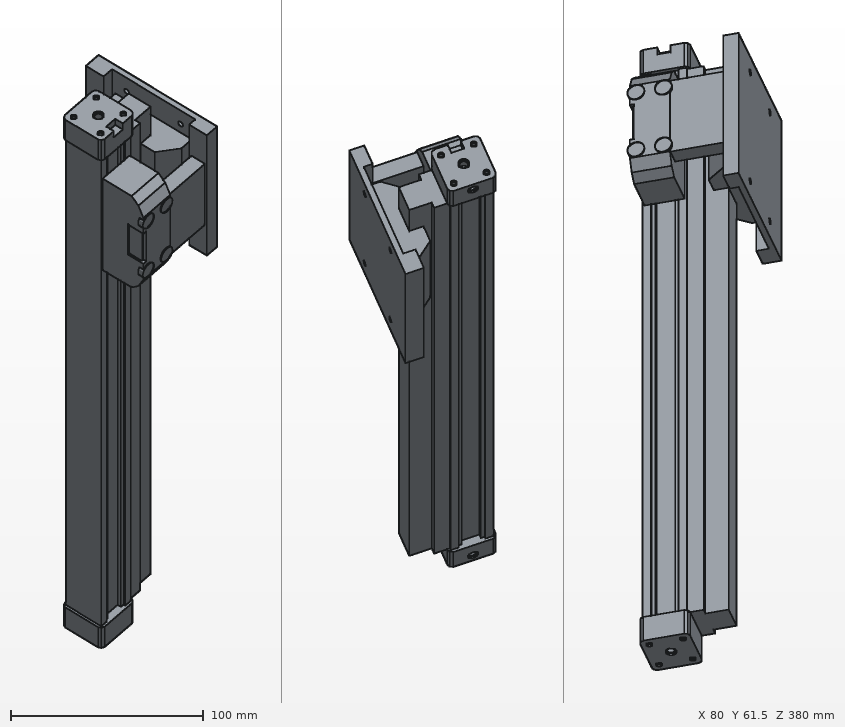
import cadquery as cq

length = 380.0
total_depth = 61.5
carriage_z = 315.0

cap_size = 27.0
plate_back_y = total_depth - cap_size / 2
cap_height = 15.2
cap_flat_width = 22.0
cap_corner_inset = 0.8
screw_hole_diameter = 2.47
screw_mouth_diameter = 3.23
screw_mouth_depth = 1.0
screw_hole_offset = 9.0
screw_hole_depth = 3.8
port_diameter = 4.0
port_mouth_diameter = 5.7
port_mouth_depth = 1.0
port_depth = 5.7
side_port_inset = 5.5
cable_notch_inner_x = 8.5
cable_notch_width = 7.2
cable_notch_depth = 4.5

profile_size = 24.0
groove_outer_width = 15.0
groove_outer_depth = 1.0
groove_inner_width = 10.5
groove_inner_depth = 3.5

rail_base_width = 21.5
rail_base_back_y = plate_back_y - 27.5
rail_width = 15.0
rail_back_y = plate_back_y - 15.0

plate_width = 80.0
plate_height = 90.0
plate_thickness = 3.5
channel_width = 56.2
left_leg_height = 10.3
right_leg_height = 8.5
plate_hole_diameter = 3.23
plate_hole_spacing_x = 36.5
plate_hole_spacing_z = 70.0

block_length = 57.0
block_back_width = 51.5
block_front_width = 34.0
block_slope_y = plate_back_y - 11.8
block_front_y = plate_back_y - 22.8

box_length = 68.5
box_end_x = 39.5
box_depth = 21.5
box_corner_start = (31.5, 0.0)
box_corner_middle = (36.0, 4.0)
box_corner_finish = (box_end_x, 11.0)
recess_inner_x = 29.0
recess_length = 22.5
recess_depth = 1.0
ledge_inner_x = 37.5
ledge_depth = 1.0
post_left_x = 29.5
post_width = 9.0
post_length = 45.5

rib_radius = 4.5
rib_bulge = 1.0
rib_start_x = 37.0
rib_end_x = plate_width / 2
rib_spacing = 37.0


def box_between(x_range, y_range, z_range):
    """A box given by its lower and upper limits along each axis."""
    (x0, x1), (y0, y1), (z0, z1) = x_range, y_range, z_range
    return cq.Workplane("XY").box(x1 - x0, y1 - y0, z1 - z0, centered=False).translate((x0, y0, z0))


def centred(size, middle=0.0):
    """Lower and upper limit of a size centred on a middle."""
    return (middle - size / 2, middle + size / 2)


def stepped_hole(diameter, depth, mouth_diameter, mouth_depth):
    """Cutter for a hole with a wider mouth, going down from Z = 0."""
    hole = cq.Workplane("XY").circle(diameter / 2).extrude(-depth)
    return hole.union(cq.Workplane("XY").circle(mouth_diameter / 2).extrude(-mouth_depth))


def make_end_cap():
    """Upper end cap, standing on Z = 0."""
    half = cap_size / 2
    flat = cap_flat_width / 2
    ridge = half - cap_corner_inset
    corner = [(half, flat), (ridge, ridge), (flat, half)]
    back_half = corner + [(-x, y) for x, y in reversed(corner)]
    outline = back_half + [(-x, -y) for x, y in back_half]
    cap = cq.Workplane("XY").polyline(outline).close().extrude(cap_height)
    screw_hole = stepped_hole(
        screw_hole_diameter, screw_hole_depth, screw_mouth_diameter, screw_mouth_depth
    )
    for x in (-screw_hole_offset, screw_hole_offset):
        for y in (-screw_hole_offset, screw_hole_offset):
            cap = cap.cut(screw_hole.translate((x, y, cap_height)))
    port = stepped_hole(port_diameter, port_depth, port_mouth_diameter, port_mouth_depth)
    cap = cap.cut(port.translate((0, 0, cap_height)))
    side_port = port.rotate((0, 0, 0), (0, 1, 0), -90)
    return cap.cut(side_port.translate((-half, 0, cap_height - side_port_inset)))


def make_profile(z_range):
    """Square profile with stepped grooves in its left and right sides."""
    half = profile_size / 2
    profile = box_between((-half, half), (-half, half), z_range)
    for width, depth in (
        (groove_outer_width, groove_outer_depth),
        (groove_inner_width, groove_inner_depth),
    ):
        for x_range in ((-half, -half + depth), (half - depth, half)):
            profile = profile.cut(box_between(x_range, centred(width), z_range))
    return profile


def make_cylinder():
    """Fixed body: profile, guide rail and the two end caps."""
    z_range = (cap_height, length - cap_height)
    cylinder = make_profile(z_range)
    cylinder = cylinder.union(
        box_between(centred(rail_base_width), (profile_size / 2, rail_base_back_y), z_range)
    )
    cylinder = cylinder.union(box_between(centred(rail_width), (rail_base_back_y, rail_back_y), z_range))

    cable_notch = box_between(
        (cable_notch_inner_x, cap_size / 2),
        centred(cable_notch_width),
        (cap_height - cable_notch_depth, cap_height),
    )
    upper_cap = make_end_cap().cut(cable_notch).translate((0, 0, length - cap_height))
    lower_cap = make_end_cap().mirror("XY").translate((0, 0, cap_height))
    return cylinder.union(upper_cap).union(lower_cap)


def make_plate():
    """Back plate with a long left leg, a short right leg and four through holes."""
    half = plate_width / 2
    half_channel = channel_width / 2
    z_range = centred(plate_height, carriage_z)
    plate = box_between((-half, half), (plate_back_y - plate_thickness, plate_back_y), z_range)
    for x_range, height in (
        ((-half, -half_channel), left_leg_height),
        ((half_channel, half), right_leg_height),
    ):
        plate = plate.union(box_between(x_range, (plate_back_y - height, plate_back_y), z_range))
    holes = (
        cq.Workplane("XZ", origin=(0, plate_back_y, carriage_z))
        .rect(plate_hole_spacing_x, plate_hole_spacing_z, forConstruction=True)
        .vertices()
        .circle(plate_hole_diameter / 2)
        .extrude(plate_thickness)
    )
    return plate.cut(holes)


def make_bearing_block():
    """Block with sloped sides and a channel that fits the guide rail."""
    back_y = plate_back_y - plate_thickness
    z_range = centred(block_length, carriage_z)
    block = (
        cq.Workplane("XY", origin=(0, 0, z_range[0]))
        .polyline([
            (-block_back_width / 2, back_y),
            (-block_back_width / 2, block_slope_y),
            (-block_front_width / 2, block_front_y),
            (block_front_width / 2, block_front_y),
            (block_back_width / 2, block_slope_y),
            (block_back_width / 2, back_y),
        ])
        .close()
        .extrude(block_length)
    )
    return block.cut(box_between(centred(rail_width), (block_front_y, rail_back_y), z_range))


def make_sensor_box():
    """Box beside the profile, with two-facet outer corners and a recess in its front face."""
    half = box_length / 2
    front_y = -box_depth / 2
    corner = [box_corner_start, box_corner_middle, box_corner_finish]
    upper = [(x, half - inset) for x, inset in corner]
    lower = [(x, -z) for x, z in reversed(upper)]
    inner_x = profile_size / 2
    box = (
        cq.Workplane("XZ", origin=(0, -front_y, carriage_z))
        .polyline([(inner_x, half)] + upper + lower + [(inner_x, -half)])
        .close()
        .extrude(box_depth)
    )
    recess_z = centred(recess_length, carriage_z)
    recess_y = front_y + recess_depth
    recess = box_between((recess_inner_x, box_end_x), (front_y, recess_y), recess_z)
    ledge = box_between((ledge_inner_x, box_end_x), (recess_y, recess_y + ledge_depth), recess_z)
    return box.cut(recess).cut(ledge)


def make_rib(y, z):
    """Short round rib along X, mostly sunk into the end of the box."""
    return (
        cq.Workplane("YZ", origin=(rib_start_x, y, z))
        .circle(rib_radius)
        .extrude(rib_end_x - rib_start_x)
    )


def add_ribs(body):
    """Add four ribs, one pair at the front face of the box and one at the back face."""
    axis_y = box_depth / 2 + rib_bulge - rib_radius
    for y in (-axis_y, axis_y):
        for z in centred(rib_spacing, carriage_z):
            body = body.union(make_rib(y, z))
    return body


def make_carriage():
    """Moving body: plate, bearing block, post and sensor box."""
    post = box_between(
        (post_left_x, post_left_x + post_width),
        (box_depth / 2, plate_back_y - right_leg_height),
        centred(post_length, carriage_z),
    )
    carriage = make_plate().union(make_bearing_block()).union(post)
    return add_ribs(carriage.union(make_sensor_box()))


cylinder = make_cylinder()
carriage = make_carriage()
result = cq.Compound.makeCompound([cylinder.val(), carriage.val()])